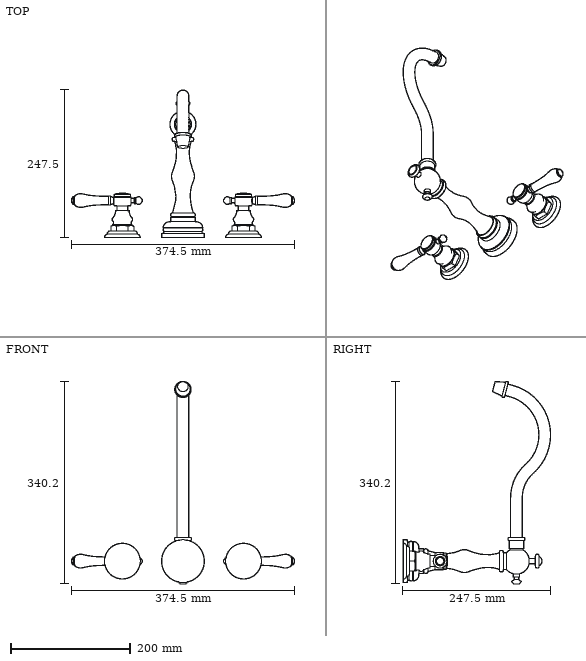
import cadquery as cq
import math

HANDLE_SPACING = 101.6
LEVER_HEIGHT = 62.0
BALL_CENTRE = 190.0
BALL_RADIUS = 22.0

X_DIR = cq.Vector(1, 0, 0)
Y_DIR = cq.Vector(0, 1, 0)
Z_DIR = cq.Vector(0, 0, 1)


def turning_start(origin, axis, radial=X_DIR):
    """Workplane whose local x is a radius and whose local y runs along the turning axis."""
    return cq.Workplane(cq.Plane(origin=origin, xDir=radial, normal=radial.cross(axis)))


def turn(outline):
    """Close an outline against the turning axis and revolve it into a solid."""
    return outline.close().revolve(360, (0, 0, 0), (0, 1, 0))


def dome_to_axis(outline, radius, base, top):
    """Add an arc from (radius, base) to the axis that meets the axis square at height top."""
    height = top - base
    sphere_radius = (radius**2 + height**2) / (2 * height)
    half_angle = math.asin(radius / sphere_radius) / 2
    middle = (
        sphere_radius * math.sin(half_angle),
        top - sphere_radius * (1 - math.cos(half_angle)),
    )
    return outline.threePointArc(middle, (0, top))


FLANGE_RADIUS = 36.0
FLANGE_THICKNESS = 7.0
FLANGE_ROUND = 1.0
GROOVE_DEPTH = 1.2
COVE_MIDDLE = (32.3, 8.3)
COVE_TOP = (32.0, 10.0)
MOULDING_FOOT = 11.0
MOULDING_TOP = 15.6
MOULDING_RADIUS = 33.5
MOULDING_EDGE_RADIUS = 32.6
BELL_RADIUS = 33.3
BELL_FOOT = 17.0
BELL_SHOULDER = (30.0, 23.7)
BELL_TOP = (23.5, 26.5)
COLLAR_RADIUS = 20.8
COLLAR_TOP = 35.0
COLLAR_RING_TOP = 41.5
COLLAR_RING_EDGE_RADIUS = COLLAR_RADIUS - 2.0
FLARE_RADIUS = 17.6
LOWER_FLARE = [(14.8, 51.0), (13.0, 62.0)]
LOWER_WAIST = (12.5, 71.0)
LOWER_SWELL = (14.0, 83.5)
BULB_FOOT = (17.2, 93.5)
BULB_MIDDLE = (19.5, 103.0)
BULB_TOP = (17.0, 112.0)
UPPER_SWELL = (14.0, 121.5)
UPPER_WAIST = (10.9, 141.0)
NECK_RADIUS = 14.3
NECK_RING_RADIUS = 18.2
NECK_RING_EDGE_RADIUS = NECK_RING_RADIUS - 1.5
NECK_RING_FOOT = 161.5
NECK_RING_TOP = 168.0


def make_pedestal():
    bell_groove_radius = BELL_RADIUS - GROOVE_DEPTH
    collar_groove_radius = COLLAR_RADIUS - GROOVE_DEPTH
    outline = (
        turning_start((0, 0, 0), Y_DIR)
        .lineTo(FLANGE_RADIUS, 0)
        .lineTo(FLANGE_RADIUS, FLANGE_THICKNESS - FLANGE_ROUND)
        .radiusArc((FLANGE_RADIUS - FLANGE_ROUND, FLANGE_THICKNESS), -FLANGE_ROUND)
        .threePointArc(COVE_MIDDLE, COVE_TOP)
        .lineTo(MOULDING_EDGE_RADIUS, MOULDING_FOOT)
        .threePointArc(
            (MOULDING_RADIUS, (MOULDING_FOOT + MOULDING_TOP) / 2),
            (MOULDING_EDGE_RADIUS, MOULDING_TOP),
        )
        .lineTo(bell_groove_radius, MOULDING_TOP)
        .lineTo(bell_groove_radius, BELL_FOOT)
        .lineTo(BELL_RADIUS, BELL_FOOT)
        .threePointArc(BELL_SHOULDER, BELL_TOP)
        .lineTo(COLLAR_RADIUS, BELL_TOP[1])
        .lineTo(COLLAR_RADIUS, COLLAR_TOP - GROOVE_DEPTH)
        .lineTo(collar_groove_radius, COLLAR_TOP - GROOVE_DEPTH)
        .lineTo(collar_groove_radius, COLLAR_TOP)
        .threePointArc(
            (COLLAR_RADIUS, (COLLAR_TOP + COLLAR_RING_TOP) / 2),
            (COLLAR_RING_EDGE_RADIUS, COLLAR_RING_TOP),
        )
        .lineTo(FLARE_RADIUS, COLLAR_RING_TOP)
        .spline([*LOWER_FLARE, LOWER_WAIST, LOWER_SWELL, BULB_FOOT], includeCurrent=True)
        .threePointArc(BULB_MIDDLE, BULB_TOP)
        .spline([UPPER_SWELL, UPPER_WAIST, (NECK_RADIUS, NECK_RING_FOOT)], includeCurrent=True)
        .lineTo(NECK_RING_EDGE_RADIUS, NECK_RING_FOOT)
        .threePointArc(
            (NECK_RING_RADIUS, (NECK_RING_FOOT + NECK_RING_TOP) / 2),
            (NECK_RING_EDGE_RADIUS, NECK_RING_TOP),
        )
        .lineTo(NECK_RADIUS, NECK_RING_TOP)
        .lineTo(NECK_RADIUS, BALL_CENTRE)
        .lineTo(0, BALL_CENTRE)
    )
    return turn(outline)


def make_ball():
    return cq.Workplane("XY").sphere(BALL_RADIUS).translate((0, BALL_CENTRE, 0))


KNOB_STEM_RADIUS = 4.8
KNOB_STEM_END = 31.0
KNOB_RIM_RADIUS = 11.8
KNOB_RIM_EDGE_RADIUS = 10.0
KNOB_RIM_FOOT = 32.0
KNOB_RIM_TOP = 38.0
KNOB_DOME_RADIUS = 8.0
KNOB_END = 43.0


def make_end_knob():
    outline = (
        turning_start((0, BALL_CENTRE, 0), Y_DIR)
        .lineTo(KNOB_STEM_RADIUS, 0)
        .lineTo(KNOB_STEM_RADIUS, KNOB_STEM_END)
        .lineTo(KNOB_RIM_EDGE_RADIUS, KNOB_RIM_FOOT)
        .threePointArc(
            (KNOB_RIM_RADIUS, (KNOB_RIM_FOOT + KNOB_RIM_TOP) / 2),
            (KNOB_RIM_EDGE_RADIUS, KNOB_RIM_TOP),
        )
        .lineTo(KNOB_DOME_RADIUS, KNOB_RIM_TOP)
    )
    return turn(dome_to_axis(outline, KNOB_DOME_RADIUS, KNOB_RIM_TOP, KNOB_END))


DROP_SLEEVE_RADIUS = 5.4
DROP_SLEEVE_END = 27.0
DROP_NECK_RADIUS = 3.9
DROP_NECK_END = 31.0
DROP_RIM_RADIUS = 8.1
DROP_RIM_EDGE_RADIUS = 7.6
DROP_RIM_FOOT = 33.6
DROP_RIM_TOP = 35.2
DROP_TIP_RADIUS = 4.2
DROP_LENGTH = 38.6


def make_drop_finial():
    outline = (
        turning_start((0, BALL_CENTRE, 0), -Z_DIR)
        .lineTo(DROP_SLEEVE_RADIUS, 0)
        .lineTo(DROP_SLEEVE_RADIUS, DROP_SLEEVE_END)
        .lineTo(DROP_NECK_RADIUS, DROP_SLEEVE_END)
        .lineTo(DROP_NECK_RADIUS, DROP_NECK_END)
        .lineTo(DROP_RIM_EDGE_RADIUS, DROP_RIM_FOOT)
        .threePointArc(
            (DROP_RIM_RADIUS, (DROP_RIM_FOOT + DROP_RIM_TOP) / 2),
            (DROP_RIM_EDGE_RADIUS, DROP_RIM_TOP),
        )
        .lineTo(DROP_TIP_RADIUS, DROP_LENGTH)
        .lineTo(0, DROP_LENGTH)
    )
    return turn(outline)


SOCKET_RADIUS = 12.4
SOCKET_RING_RADIUS = 14.5
SOCKET_GROOVE_TOP = 21.5
SOCKET_RING_FOOT = 34.3
SOCKET_RING_TOP = 40.0


def make_pipe_socket():
    outline = (
        turning_start((0, BALL_CENTRE, 0), Z_DIR)
        .lineTo(SOCKET_RADIUS - GROOVE_DEPTH, 0)
        .lineTo(SOCKET_RADIUS - GROOVE_DEPTH, SOCKET_GROOVE_TOP)
        .lineTo(SOCKET_RADIUS, SOCKET_GROOVE_TOP)
        .lineTo(SOCKET_RADIUS, SOCKET_RING_FOOT)
        .threePointArc(
            (SOCKET_RING_RADIUS, (SOCKET_RING_FOOT + SOCKET_RING_TOP) / 2),
            (SOCKET_RADIUS, SOCKET_RING_TOP),
        )
        .lineTo(0, SOCKET_RING_TOP)
    )
    return turn(outline)


PIPE_RADIUS = 10.0
PIPE_REACH = 247.51
STRAIGHT_TOP = 106.6
BACK_BEND_RADIUS = 64.5
BACK_BEND_ANGLE = math.radians(48.55)
OUTLET_RISE_ANGLE = math.radians(14.5)

bend_joint_y = BALL_CENTRE + BACK_BEND_RADIUS * (1 - math.cos(BACK_BEND_ANGLE))
bend_joint_z = STRAIGHT_TOP + BACK_BEND_RADIUS * math.sin(BACK_BEND_ANGLE)
front_bend_radius = (PIPE_REACH - PIPE_RADIUS - bend_joint_y) / (1 - math.cos(BACK_BEND_ANGLE))
front_centre_y = PIPE_REACH - PIPE_RADIUS - front_bend_radius
front_centre_z = bend_joint_z + front_bend_radius * math.sin(BACK_BEND_ANGLE)
outlet_axis = cq.Vector(0, -math.cos(OUTLET_RISE_ANGLE), math.sin(OUTLET_RISE_ANGLE))
pipe_end = cq.Vector(
    0,
    front_centre_y + front_bend_radius * math.sin(OUTLET_RISE_ANGLE),
    front_centre_z + front_bend_radius * math.cos(OUTLET_RISE_ANGLE),
)


def make_pipe():
    half_bend = BACK_BEND_ANGLE / 2
    back_bend_middle = (
        BALL_CENTRE + BACK_BEND_RADIUS * (1 - math.cos(half_bend)),
        STRAIGHT_TOP + BACK_BEND_RADIUS * math.sin(half_bend),
    )
    path = (
        cq.Workplane("YZ")
        .moveTo(BALL_CENTRE, SOCKET_RING_FOOT)
        .lineTo(BALL_CENTRE, STRAIGHT_TOP)
        .threePointArc(back_bend_middle, (bend_joint_y, bend_joint_z))
        .threePointArc((PIPE_REACH - PIPE_RADIUS, front_centre_z), (pipe_end.y, pipe_end.z))
    )
    return (
        cq.Workplane("XY", origin=(0, BALL_CENTRE, SOCKET_RING_FOOT))
        .circle(PIPE_RADIUS)
        .sweep(path)
    )


NOZZLE_RING_RADIUS = 13.9
NOZZLE_RING_EDGE_RADIUS = NOZZLE_RING_RADIUS - 1.0
NOZZLE_RING_FOOT = 7.5
NOZZLE_RING_TOP = 12.0
NOZZLE_BODY_RADIUS = 12.2
NOZZLE_MOUTH_RADIUS = 8.9
NOZZLE_LENGTH = 29.5


def make_nozzle():
    outline = (
        turning_start(pipe_end, outlet_axis)
        .lineTo(PIPE_RADIUS, 0)
        .lineTo(PIPE_RADIUS, NOZZLE_RING_FOOT)
        .lineTo(NOZZLE_RING_EDGE_RADIUS, NOZZLE_RING_FOOT)
        .threePointArc(
            (NOZZLE_RING_RADIUS, (NOZZLE_RING_FOOT + NOZZLE_RING_TOP) / 2),
            (NOZZLE_RING_EDGE_RADIUS, NOZZLE_RING_TOP),
        )
        .lineTo(NOZZLE_BODY_RADIUS, NOZZLE_RING_TOP)
        .lineTo(NOZZLE_MOUTH_RADIUS, NOZZLE_LENGTH)
        .lineTo(0, NOZZLE_LENGTH)
    )
    return turn(outline)


FOOT_RADIUS = 30.1
FOOT_EDGE = 1.0
FOOT_LOWER_SWELL = (28.7, 3.8)
FOOT_STEP = (25.8, 5.5)
FOOT_UPPER_SWELL = (24.7, 8.8)
FOOT_TOP = (22.3, 11.0)
NUT_TOP = 20.5
NUT_CORNER_RADIUS = 19.5
NUT_CHAMFER_HEIGHT = 1.6
NUT_CHAMFER_WIDTH = 2 * NUT_CHAMFER_HEIGHT
WAIST_RADIUS = 16.3
WAIST_FOOT = 21.5
WAIST_MIDDLE = (14.9, 24.5)
STEM_RING_FOOT = (16.0, 27.4)
STEM_RING_MIDDLE = (17.3, 30.3)
STEM_RING_TOP = (16.0, 33.2)
STEM_BELL_FOOT = (14.2, 35.5)
STEM_BELL_MIDDLE = (12.7, 39.0)
STEM_BELL_RADIUS = 11.6
STEM_BELL_SHOULDER = 43.0
STEM_BELL_TOP = 45.0
STEM_RADIUS = 9.2
HEAD_FOOT = (13.4, 53.0)
HEAD_LOWER_ROUND = (14.3, 54.6)
HEAD_RADIUS = 14.7
HEAD_BAND_FOOT = 56.5
HEAD_BAND_TOP = 67.0
HEAD_CAP_RADIUS = 13.8
HEAD_CAP_FOOT = 68.5
HEAD_CAP_TOP = 71.8
HEAD_DOME_RADIUS = 12.6
HEAD_DOME_FOOT = 73.0
HEAD_TOP = 74.6


def make_handle_pedestal():
    outline = (
        turning_start((0, 0, 0), Y_DIR)
        .lineTo(FOOT_RADIUS, 0)
        .lineTo(FOOT_RADIUS, FOOT_EDGE)
        .threePointArc(FOOT_LOWER_SWELL, FOOT_STEP)
        .threePointArc(FOOT_UPPER_SWELL, FOOT_TOP)
        .lineTo(WAIST_RADIUS, FOOT_TOP[1])
        .lineTo(WAIST_RADIUS, WAIST_FOOT)
        .threePointArc(WAIST_MIDDLE, STEM_RING_FOOT)
        .threePointArc(STEM_RING_MIDDLE, STEM_RING_TOP)
        .lineTo(*STEM_BELL_FOOT)
        .threePointArc(STEM_BELL_MIDDLE, (STEM_BELL_RADIUS, STEM_BELL_SHOULDER))
        .lineTo(STEM_BELL_RADIUS, STEM_BELL_TOP)
        .lineTo(STEM_RADIUS, STEM_BELL_TOP)
        .lineTo(STEM_RADIUS, HEAD_FOOT[1])
        .lineTo(*HEAD_FOOT)
        .threePointArc(HEAD_LOWER_ROUND, (HEAD_RADIUS, HEAD_BAND_FOOT))
        .lineTo(HEAD_RADIUS, HEAD_BAND_TOP)
        .lineTo(HEAD_CAP_RADIUS, HEAD_CAP_FOOT)
        .lineTo(HEAD_CAP_RADIUS, HEAD_CAP_TOP)
        .lineTo(HEAD_DOME_RADIUS, HEAD_DOME_FOOT)
    )
    return turn(dome_to_axis(outline, HEAD_DOME_RADIUS, HEAD_DOME_FOOT, HEAD_TOP))


def make_nut():
    prism = (
        cq.Workplane(cq.Plane(origin=(0, 0, 0), xDir=X_DIR, normal=Y_DIR))
        .polygon(6, 2 * NUT_CORNER_RADIUS)
        .extrude(NUT_TOP)
    )
    blank = (
        turning_start((0, 0, 0), Y_DIR)
        .lineTo(NUT_CORNER_RADIUS, 0)
        .lineTo(NUT_CORNER_RADIUS, NUT_TOP - NUT_CHAMFER_HEIGHT)
        .lineTo(NUT_CORNER_RADIUS - NUT_CHAMFER_WIDTH, NUT_TOP)
        .lineTo(0, NUT_TOP)
    )
    return prism.intersect(turn(blank))


OVERALL_WIDTH = 374.52
LEVER_LENGTH = OVERALL_WIDTH / 2 - HANDLE_SPACING
LEVER_NECK_RADIUS = 5.4
LEVER_NECK_END = 15.0
LEVER_COLLAR_RADIUS = 7.7
LEVER_COLLAR_FOOT = 19.8
LEVER_COLLAR_TOP = 23.3
LEVER_FLARE_RADIUS = 7.0
GRIP_START = (7.3, LEVER_COLLAR_TOP)
GRIP_SWELL = [(7.6, 40.0), (9.9, 60.0), (11.7, 70.0)]
GRIP_END = (7.8, 80.3)
BUTTON_NECK_RADIUS = 6.0
BUTTON_RADIUS = 6.8
BUTTON_FOOT = 81.0
BUTTON_DOME_FOOT = 82.6


def make_lever():
    outline = (
        turning_start((0, LEVER_HEIGHT, 0), X_DIR, Y_DIR)
        .lineTo(LEVER_NECK_RADIUS, 0)
        .lineTo(LEVER_NECK_RADIUS, LEVER_NECK_END)
        .lineTo(LEVER_FLARE_RADIUS, LEVER_COLLAR_FOOT)
        .lineTo(LEVER_COLLAR_RADIUS, LEVER_COLLAR_FOOT)
        .lineTo(LEVER_COLLAR_RADIUS, LEVER_COLLAR_TOP)
        .lineTo(*GRIP_START)
        .spline([*GRIP_SWELL, GRIP_END], includeCurrent=True)
        .lineTo(BUTTON_NECK_RADIUS, GRIP_END[1])
        .lineTo(BUTTON_NECK_RADIUS, BUTTON_FOOT)
        .lineTo(BUTTON_RADIUS, BUTTON_FOOT)
        .lineTo(BUTTON_RADIUS, BUTTON_DOME_FOOT)
    )
    return turn(dome_to_axis(outline, BUTTON_RADIUS, BUTTON_DOME_FOOT, LEVER_LENGTH))


FINIAL_STEM_RADIUS = 4.0
FINIAL_STEM_END = 19.8
FINIAL_DISC_RADIUS = 5.4
FINIAL_DISC_FOOT = 20.3
FINIAL_DISC_TOP = 22.3
FINIAL_BALL_FOOT = (4.4, 23.0)
FINIAL_BALL_MIDDLE = (6.6, 27.0)
FINIAL_BALL_TOP = (3.6, 31.8)
FINIAL_TIP_RADIUS = 1.6
FINIAL_LENGTH = 33.6


def make_lever_finial():
    outline = (
        turning_start((0, LEVER_HEIGHT, 0), -X_DIR, Y_DIR)
        .lineTo(FINIAL_STEM_RADIUS, 0)
        .lineTo(FINIAL_STEM_RADIUS, FINIAL_STEM_END)
        .lineTo(FINIAL_DISC_RADIUS, FINIAL_DISC_FOOT)
        .lineTo(FINIAL_DISC_RADIUS, FINIAL_DISC_TOP)
        .lineTo(*FINIAL_BALL_FOOT)
        .threePointArc(FINIAL_BALL_MIDDLE, FINIAL_BALL_TOP)
        .lineTo(FINIAL_TIP_RADIUS, FINIAL_LENGTH)
        .lineTo(0, FINIAL_LENGTH)
    )
    return turn(outline)


def make_spout():
    return (
        make_pedestal()
        .union(make_ball())
        .union(make_end_knob())
        .union(make_drop_finial())
        .union(make_pipe_socket())
        .union(make_pipe())
        .union(make_nozzle())
    )


def make_handle():
    return (
        make_handle_pedestal()
        .union(make_nut())
        .union(make_lever())
        .union(make_lever_finial())
    )


spout = make_spout()

handles = [
    make_handle().rotate((0, 0, 0), (0, 1, 0), turn_angle).translate((offset, 0, 0))
    for offset, turn_angle in ((HANDLE_SPACING, 0), (-HANDLE_SPACING, 180))
]

result = cq.Compound.makeCompound([spout.val(), *[handle.val() for handle in handles]])